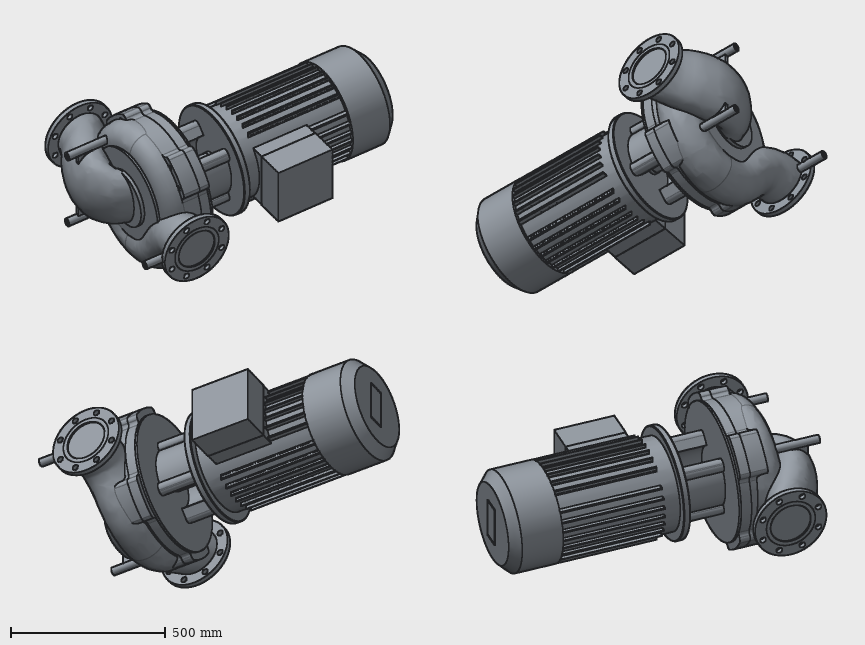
import cadquery as cq
import math


INLET_FACE_X = -360.0
OUTLET_FACE_X = 340.0
FLANGE_THICKNESS = 18.0
FLANGE_RADIUS = 125.0
PORT_RADIUS = 85.5
PORT_RECESS_RADIUS = 70.5
PORT_RECESS_DEPTH = 5.0
BOLT_CIRCLE_RADIUS = 105.0
BOLT_HOLE_DIAMETER = 20.0
BOLT_COUNT = 8

CASING_RADIUS = 238.0
CASING_JOINT_Y = 88.0
CASING_ROUND_RADIUS = 61.0
CASING_ROUND_Y = 26.0
CASING_DISC_Y = -44.0
HUB_RADIUS = 100.0
HUB_FACE_Y = -57.5

SPIRAL_START_ANGLE = 90.0
SPIRAL_END_ANGLE = 270.0
SPIRAL_STEPS = 6
SPIRAL_END_RADIUS = 75.0
SPIRAL_END_CENTRE_RADIUS = 194.75
SPIRAL_END_Y = 22.0

LUG_RADIUS = 262.0
LUG_TOP_Y = 124.0
LUG_WIDTH = 148.0
LUG_ROUND_RADIUS = 16.5
LUG_HOLE_CIRCLE_RADIUS = 239.0
LUG_HOLE_HALF_ANGLE = 8.75
LUG_HOLE_DIAMETER = 18.0
LUG_HOLE_DEPTH = 20.0
DIAGONALS = (45.0, 135.0, 225.0, 315.0)

FOOT_RADIUS = 14.0
FOOT_END_Y = -186.0
FOOT_ROOT_Y = -22.0
FOOT_BORE_RADIUS = 7.0
FOOT_BORE_DEPTH = 30.0
INLET_FOOT_X = -140.0
INLET_FOOT_Z = 141.0
OUTLET_FOOT_X = 314.0
FOOT_RIB_THICKNESS = 13.0
FOOT_RIB_END_Y = -146.0
FOOT_RIB_LENGTH = 56.0
FOOT_RIB_INNER_Z = 95.0

COVER_TOP_Y = 131.5
COVER_RADIUS = 237.0
LANTERN_RADIUS = 118.0
LANTERN_INNER_RADIUS = 88.0
PILLAR_WIDTH = 44.0
PILLAR_REACH = 141.0
PILLAR_ROUND_RADIUS = 20.0

SHAFT_RADIUS = 31.0
SHAFT_COLLAR_RADIUS = 32.0
SHAFT_COLLAR_LENGTH = 12.5

MOTOR_FACE_Y = 283.5
MOTOR_FLANGE_THICKNESS = 23.5
MOTOR_FLANGE_RADIUS = 193.5
MOTOR_FLANGE_CHAMFER = 2.5
MOTOR_BODY_RADIUS = 161.0
FAN_COVER_RADIUS = 174.0
FAN_COVER_START_Y = 721.0
FAN_COVER_END_Y = 899.0
FAN_COVER_CHAMFER = 34.0
FIN_START_Y = 364.0
FIN_PITCH = 31.5
FIN_THICKNESS = 4.0
FIN_ROOT_DEPTH = 1.0
FIN_STEPS = range(-3, 4)
END_PLATE_WIDTH = 63.0
END_PLATE_HEIGHT = 140.0
END_PLATE_CENTRE_X = 8.5
END_PLATE_FACE_Y = 901.72

BOX_START_Y = 363.0
BOX_END_Y = 574.0
BOX_END_X = 273.5
BOX_HEIGHT = 208.0
BOX_LID_X = 174.0
BOX_LID_OVERHANG = 1.0


def y_cylinder(radius, y_start, y_end, x=0.0, z=0.0):
    """A cylinder along Y between two Y positions."""
    base = cq.Workplane("XZ", origin=(x, y_start, z))
    return base.circle(radius).extrude(y_start - y_end)


def polar(radius, angle):
    """X and Z of a point at an angle measured from +X towards +Z."""
    turn = math.radians(angle)
    return radius * math.cos(turn), radius * math.sin(turn)


def block(x_start, x_end, y_start, y_end, z_start, z_end):
    """A box given by its limits."""
    size = (x_end - x_start, y_end - y_start, z_end - z_start)
    return cq.Workplane("XY").box(*size, centered=False).translate((x_start, y_start, z_start))


def loft(sections):
    """A smooth solid through (centre, normal, major radius, minor radius, major axis) sections."""
    wires = []
    for centre, normal, major, minor, axis in sections:
        wires.append(
            cq.Wire.makeEllipse(major, minor, cq.Vector(*centre), cq.Vector(*normal), cq.Vector(*axis))
        )
    return cq.Workplane(cq.Solid.makeLoft(wires))


def casing_front():
    """Rounded front of the casing with a flat disc and an inlet hub."""
    disc_radius = CASING_RADIUS - CASING_ROUND_RADIUS
    round_offset = CASING_ROUND_RADIUS * math.sqrt(0.5)
    profile = (
        cq.Workplane("XY")
        .moveTo(0, CASING_ROUND_Y)
        .lineTo(CASING_RADIUS, CASING_ROUND_Y)
        .threePointArc(
            (disc_radius + round_offset, CASING_ROUND_Y - round_offset),
            (disc_radius, CASING_ROUND_Y - CASING_ROUND_RADIUS),
        )
        .lineTo(disc_radius, CASING_DISC_Y)
        .lineTo(HUB_RADIUS, CASING_DISC_Y)
        .lineTo(HUB_RADIUS, HUB_FACE_Y)
        .lineTo(0, HUB_FACE_Y)
        .close()
    )
    return profile.revolve(360, (0, 0, 0), (0, 1, 0))


def spiral():
    """Tube that runs half way around the rim and swells towards the outlet."""
    start_centre = CASING_RADIUS - CASING_ROUND_RADIUS
    sections = []
    for step in range(SPIRAL_STEPS + 1):
        part = step / SPIRAL_STEPS
        angle = SPIRAL_START_ANGLE + part * (SPIRAL_END_ANGLE - SPIRAL_START_ANGLE)
        x, z = polar(start_centre + part * (SPIRAL_END_CENTRE_RADIUS - start_centre), angle)
        y = CASING_ROUND_Y + part * (SPIRAL_END_Y - CASING_ROUND_Y)
        radius = CASING_ROUND_RADIUS + part * (SPIRAL_END_RADIUS - CASING_ROUND_RADIUS)
        normal_x, normal_z = polar(1.0, angle + 90)
        sections.append(((x, y, z), (normal_x, 0, normal_z), radius, radius, (0, 1, 0)))
    return loft(sections)


def outlet_pipe():
    """S-shaped pipe from the end of the spiral to the back of the outlet flange."""
    stations = (
        (0.0, SPIRAL_END_Y, -SPIRAL_END_CENTRE_RADIUS, 0.0, SPIRAL_END_RADIUS),
        (61.0, 21.0, -184.0, 22.0, 76.0),
        (117.0, 18.0, -149.0, 45.0, 77.5),
        (172.0, 11.0, -78.0, 53.0, 80.0),
        (247.0, 3.0, -16.0, 24.0, 83.5),
        (OUTLET_FACE_X - FLANGE_THICKNESS, 0.0, 0.0, 0.0, PORT_RADIUS),
    )
    sections = []
    for x, y, z, heading, radius in stations:
        normal_x, normal_z = polar(1.0, heading)
        sections.append(((x, y, z), (normal_x, 0, normal_z), radius, radius, (0, 1, 0)))
    return loft(sections)


def inlet_pipe():
    """Pipe that dips below the casing, widens along Z and turns up into the hub."""
    stations = (
        (INLET_FACE_X + FLANGE_THICKNESS, 0.0, 0.0, PORT_RADIUS, PORT_RADIUS),
        (-240.0, -47.5, -26.0, 117.0, 79.0),
        (-165.0, -85.5, -24.0, 126.0, 80.0),
        (-102.0, -99.0, 0.0, 123.0, 73.0),
        (-38.0, -82.0, 45.0, 108.0, 68.0),
        (-3.0, -25.0, 85.0, 96.0, 66.0),
    )
    sections = []
    for x, y, heading, half_height, half_width in stations:
        normal_x, normal_y = polar(1.0, heading)
        sections.append(((x, y, 0), (normal_x, normal_y, 0), half_height, half_width, (0, 0, 1)))
    return loft(sections)


def port_end(face_x, inward):
    """Pipe end that fills its flange, with a shallow round recess; inward is the X sign into the pump."""
    face = cq.Workplane("YZ", origin=(face_x, 0, 0))
    end = face.circle(PORT_RADIUS).extrude(inward * FLANGE_THICKNESS)
    return end, face.circle(PORT_RECESS_RADIUS).extrude(inward * PORT_RECESS_DEPTH)


def rim(y_start, y_end):
    """Round disc with four lugs on the diagonals, their corners and roots rounded."""
    body = y_cylinder(CASING_RADIUS, y_start, y_end)
    reach = y_cylinder(LUG_RADIUS, y_start, y_end)
    for angle in DIAGONALS[:2]:
        bar = block(-LUG_RADIUS, LUG_RADIUS, y_start, y_end, -LUG_WIDTH / 2, LUG_WIDTH / 2)
        body = body.union(bar.rotate((0, 0, 0), (0, 1, 0), angle).intersect(reach))
    lug_edges = body.edges("|Y").filter(lambda edge: abs(edge.Center().z) > LUG_ROUND_RADIUS)
    return lug_edges.fillet(LUG_ROUND_RADIUS)


def lug_hole(angle):
    """Blind hole in the front face of a lug."""
    x, z = polar(LUG_HOLE_CIRCLE_RADIUS, angle)
    return y_cylinder(LUG_HOLE_DIAMETER / 2, CASING_ROUND_Y, CASING_ROUND_Y + LUG_HOLE_DEPTH, x, z)


def foot_rib(side):
    """Web between an inlet foot and the inlet pipe; side is the sign of Z."""
    z_limits = sorted((side * FOOT_RIB_INNER_Z, side * INLET_FOOT_Z))
    web = block(
        INLET_FOOT_X - FOOT_RIB_THICKNESS / 2,
        INLET_FOOT_X + FOOT_RIB_THICKNESS / 2,
        FOOT_RIB_END_Y,
        FOOT_RIB_END_Y + FOOT_RIB_LENGTH,
        *z_limits,
    )
    return web.cut(y_cylinder(FOOT_RADIUS, FOOT_END_Y, 0, INLET_FOOT_X, side * INLET_FOOT_Z))


def make_casing(cover):
    """Volute casing with its inlet and outlet pipes, seated against the cover."""
    casing = rim(CASING_ROUND_Y, CASING_JOINT_Y)
    for angle in DIAGONALS:
        for turn in (-LUG_HOLE_HALF_ANGLE, LUG_HOLE_HALF_ANGLE):
            casing = casing.cut(lug_hole(angle + turn))
    casing = casing.union(casing_front()).union(spiral().cut(cover))
    casing = casing.union(outlet_pipe().cut(cover)).union(inlet_pipe())
    for face_x, inward in ((INLET_FACE_X, 1), (OUTLET_FACE_X, -1)):
        end, recess = port_end(face_x, inward)
        casing = casing.union(end).cut(recess)
    for side in (-1, 1):
        casing = casing.union(foot_rib(side))
    return casing


def make_port_flange(face_x, inward):
    """Loose ring with bolt holes; inward is the X sign into the pump."""
    return (
        cq.Workplane("YZ", origin=(face_x, 0, 0))
        .circle(FLANGE_RADIUS)
        .circle(PORT_RADIUS)
        .extrude(inward * FLANGE_THICKNESS)
        .cut(
            cq.Workplane("YZ", origin=(face_x, 0, 0))
            .polarArray(BOLT_CIRCLE_RADIUS, 180 / BOLT_COUNT, 360, BOLT_COUNT)
            .circle(BOLT_HOLE_DIAMETER / 2)
            .extrude(inward * FLANGE_THICKNESS)
        )
    )


def make_foot(x, z, casing):
    """Round foot with a blind bore, its upper end shaped to the casing."""
    foot = y_cylinder(FOOT_RADIUS, FOOT_END_Y, FOOT_ROOT_Y, x, z)
    bore = y_cylinder(FOOT_BORE_RADIUS, FOOT_END_Y, FOOT_END_Y + FOOT_BORE_DEPTH, x, z)
    return foot.cut(bore).cut(casing)


def lantern_pillars():
    """Two crossed bars on the diagonals with rounded outer corners."""
    pillars = cq.Workplane("XY")
    for angle in DIAGONALS[:2]:
        bar = block(
            -PILLAR_REACH,
            PILLAR_REACH,
            COVER_TOP_Y,
            MOTOR_FACE_Y,
            -PILLAR_WIDTH / 2,
            PILLAR_WIDTH / 2,
        )
        bar = bar.edges("|Y").fillet(PILLAR_ROUND_RADIUS)
        pillars = pillars.add(bar.rotate((0, 0, 0), (0, 1, 0), angle))
    return pillars.combine()


def make_lantern():
    """Four pillars, joined on the +X and -X sides by curved walls and open on the Z sides."""
    ring = y_cylinder(LANTERN_RADIUS, COVER_TOP_Y, MOTOR_FACE_Y)
    walls = cq.Workplane("XY")
    for side in (-1, 1):
        corner = side * LANTERN_RADIUS
        sector = cq.Workplane("XZ", origin=(0, COVER_TOP_Y, 0))
        sector = sector.polyline([(0, 0), (corner, -corner), (corner, corner)]).close()
        walls = walls.add(sector.extrude(COVER_TOP_Y - MOTOR_FACE_Y))
    walls = ring.intersect(walls.combine())
    bore = y_cylinder(LANTERN_INNER_RADIUS, COVER_TOP_Y, MOTOR_FACE_Y)
    return walls.union(lantern_pillars()).cut(bore)


def make_cover():
    """Back cover with lugs, a top rim and the lantern that carries the motor."""
    cover = rim(CASING_JOINT_Y, LUG_TOP_Y)
    cover = cover.union(y_cylinder(COVER_RADIUS, LUG_TOP_Y, COVER_TOP_Y))
    return cover.union(make_lantern())


def make_shaft():
    """Plain shaft with a collar against the motor."""
    shaft = y_cylinder(SHAFT_RADIUS, COVER_TOP_Y, MOTOR_FACE_Y)
    return shaft.union(
        y_cylinder(SHAFT_COLLAR_RADIUS, MOTOR_FACE_Y - SHAFT_COLLAR_LENGTH, MOTOR_FACE_Y)
    )


def cooling_fins():
    """Parallel upright and level fins, trimmed to the fan cover radius."""
    zone = y_cylinder(FAN_COVER_RADIUS, FIN_START_Y, FAN_COVER_START_Y)
    zone = zone.cut(y_cylinder(MOTOR_BODY_RADIUS - FIN_ROOT_DEPTH, FIN_START_Y, FAN_COVER_START_Y))
    plates = cq.Workplane("XY")
    for step in FIN_STEPS:
        low = step * FIN_PITCH - FIN_THICKNESS / 2
        high = low + FIN_THICKNESS
        reach = FAN_COVER_RADIUS
        plates = plates.add(block(low, high, FIN_START_Y, FAN_COVER_START_Y, -reach, reach))
        plates = plates.add(block(-reach, reach, FIN_START_Y, FAN_COVER_START_Y, low, high))
    return plates.combine().intersect(zone)


def make_motor(box_space):
    """Finned motor with mounting flange and fan cover; fins leave the box space free."""
    flange_end_y = MOTOR_FACE_Y + MOTOR_FLANGE_THICKNESS
    motor = y_cylinder(MOTOR_FLANGE_RADIUS, MOTOR_FACE_Y, flange_end_y)
    motor = motor.edges().chamfer(MOTOR_FLANGE_CHAMFER)
    motor = motor.union(y_cylinder(MOTOR_BODY_RADIUS, flange_end_y, FAN_COVER_START_Y))
    motor = motor.union(cooling_fins().cut(box_space))
    fan_cover = y_cylinder(FAN_COVER_RADIUS, FAN_COVER_START_Y, FAN_COVER_END_Y)
    fan_cover = fan_cover.faces(">Y").edges().chamfer(FAN_COVER_CHAMFER)
    end_plate = block(
        END_PLATE_CENTRE_X - END_PLATE_WIDTH / 2,
        END_PLATE_CENTRE_X + END_PLATE_WIDTH / 2,
        FAN_COVER_END_Y,
        END_PLATE_FACE_Y,
        -END_PLATE_HEIGHT / 2,
        END_PLATE_HEIGHT / 2,
    )
    return motor.union(fan_cover).union(end_plate)


def box_block():
    """Base and slightly larger lid of the terminal box, before it is fitted to the motor."""
    half_height = BOX_HEIGHT / 2
    base = block(
        0,
        BOX_LID_X,
        BOX_START_Y + BOX_LID_OVERHANG,
        BOX_END_Y - BOX_LID_OVERHANG,
        BOX_LID_OVERHANG - half_height,
        half_height - BOX_LID_OVERHANG,
    )
    lid = block(BOX_LID_X, BOX_END_X, BOX_START_Y, BOX_END_Y, -half_height, half_height)
    return base.union(lid)


def make_terminal_box():
    """Terminal box with its inner side fitted to the round motor body."""
    return box_block().cut(y_cylinder(MOTOR_BODY_RADIUS, MOTOR_FACE_Y, FAN_COVER_END_Y))


cover = make_cover()
casing = make_casing(cover)
feet = [
    make_foot(INLET_FOOT_X, INLET_FOOT_Z, casing),
    make_foot(INLET_FOOT_X, -INLET_FOOT_Z, casing),
    make_foot(OUTLET_FOOT_X, 0, casing),
]
inlet_flange = make_port_flange(INLET_FACE_X, 1)
outlet_flange = make_port_flange(OUTLET_FACE_X, -1).cut(feet[-1])
shaft = make_shaft()
motor = make_motor(box_block())
terminal_box = make_terminal_box()

result = cq.Compound.makeCompound(
    [
        casing.val(),
        inlet_flange.val(),
        outlet_flange.val(),
        *[foot.val() for foot in feet],
        cover.val(),
        shaft.val(),
        motor.val(),
        terminal_box.val(),
    ]
)